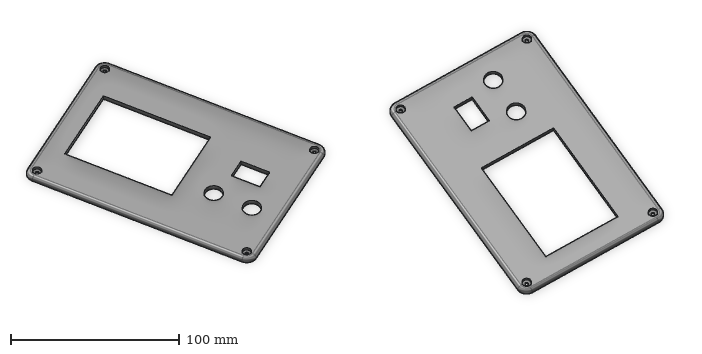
import cadquery as cq

plate_length = 152.4
plate_width = 101.6
plate_thickness = 3.175
corner_radius = 6.35
edge_radius = 2.54

screw_diameter = 2.06
screw_head_diameter = 5.59
screw_head_depth = 2.03
screw_spacing_x = plate_length - 2 * corner_radius
screw_spacing_y = plate_width - 2 * corner_radius

display_length = 71.4
display_width = 50.8
display_center = (-25.4, 0)

control_diameter = 11.43
control_spacing = 25.4
control_row_center = (44.45, -12.7)

switch_length = 19.05
switch_width = 12.7
switch_offset_y = 10.5
switch_center = (control_row_center[0], switch_offset_y)


def make_plate():
    """Plate with rounded corners and a rounded upper rim."""
    plate = cq.Workplane("XY").box(
        plate_length, plate_width, plate_thickness, centered=(True, True, False)
    )
    plate = plate.edges("|Z").fillet(corner_radius)
    return plate.faces(">Z").edges().fillet(edge_radius)


def cut_window(plate, center, length, width):
    """Cut a rectangular opening through the plate."""
    window = cq.Workplane("XY").center(*center).rect(length, width).extrude(plate_thickness)
    return plate.cut(window)


def cut_control_holes(plate):
    """Cut the pair of round holes through the plate."""
    holes = (
        cq.Workplane("XY")
        .center(*control_row_center)
        .pushPoints([(-control_spacing / 2, 0), (control_spacing / 2, 0)])
        .circle(control_diameter / 2)
        .extrude(plate_thickness)
    )
    return plate.cut(holes)


def cut_screw_holes(plate):
    """Cut a counterbored screw hole at each corner."""
    return (
        plate.faces(">Z")
        .workplane(origin=(0, 0, plate_thickness))
        .rarray(screw_spacing_x, screw_spacing_y, 2, 2)
        .cboreHole(screw_diameter, screw_head_diameter, screw_head_depth)
    )


result = make_plate()
result = cut_window(result, display_center, display_length, display_width)
result = cut_window(result, switch_center, switch_length, switch_width)
result = cut_control_holes(result)
result = cut_screw_holes(result)